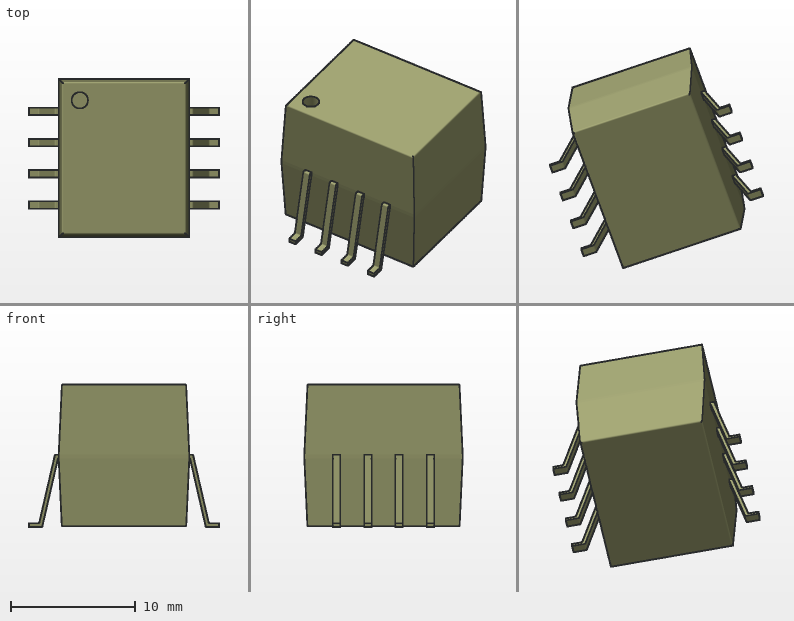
import cadquery as cq
import math

SPAN = 15.24
LEADS_PER_SIDE = 4
LEAD_PITCH = 2.5
LEAD_WIDTH = 0.61
LEAD_THICKNESS = 0.32
SHOULDER_TOP = 5.8
FOOT_BEND = 6.8
SHOULDER_BEND = 5.53
BEND_RADIUS = 0.1
SHOULDER_INNER_RADIUS = 0.05

BAND_LENGTH_X = 10.47
BAND_LENGTH_Y = 12.7
TOTAL_HEIGHT = 11.43
STANDOFF = 0.05
DRAFT_ANGLE = 2.6
EDGE_RADIUS = 0.13
BAND_TOP = SHOULDER_TOP
BAND_BOTTOM = SHOULDER_TOP - LEAD_THICKNESS

MARK_DIAMETER = 1.31
MARK_DEPTH = 1.0
MARK_X = -3.54
MARK_Y = 4.63


def housing_slice(z_start, height, draft):
    """Rectangular slice growing from z_start; a negative height grows it downwards."""
    section = cq.Workplane("XY", origin=(0, 0, z_start)).rect(BAND_LENGTH_X, BAND_LENGTH_Y)
    return section.extrude(height, taper=draft)


def make_housing():
    band = housing_slice(BAND_BOTTOM, BAND_TOP - BAND_BOTTOM, 0)
    upper = housing_slice(BAND_TOP, TOTAL_HEIGHT - BAND_TOP, DRAFT_ANGLE)
    lower = housing_slice(BAND_BOTTOM, STANDOFF - BAND_BOTTOM, DRAFT_ANGLE)
    body = band.union(upper).union(lower)
    body = body.faces(">Z or <Z").edges().fillet(EDGE_RADIUS)
    mark = (
        cq.Workplane("XY", origin=(MARK_X, MARK_Y, TOTAL_HEIGHT - MARK_DEPTH))
        .circle(MARK_DIAMETER / 2)
        .extrude(MARK_DEPTH)
    )
    return body.cut(mark)


def make_lead(side, y):
    """Gull-wing lead butting on the housing band; side is -1 or +1 along X."""
    leg_angle = math.atan2(SHOULDER_TOP - LEAD_THICKNESS, FOOT_BEND - SHOULDER_BEND)
    corner_shift = LEAD_THICKNESS * math.tan(leg_angle / 2)
    tip = SPAN / 2
    root = BAND_LENGTH_X / 2
    outline = [
        (tip, 0),
        (tip, LEAD_THICKNESS),
        (FOOT_BEND, LEAD_THICKNESS),
        (SHOULDER_BEND, SHOULDER_TOP),
        (root, SHOULDER_TOP),
        (root, BAND_BOTTOM),
        (SHOULDER_BEND - corner_shift, BAND_BOTTOM),
        (FOOT_BEND - corner_shift, 0),
    ]
    lead = (
        cq.Workplane("XZ", origin=(0, y + LEAD_WIDTH / 2, 0))
        .polyline([(side * x, z) for x, z in outline])
        .close()
        .extrude(LEAD_WIDTH)
    )

    def bend_edge(x, z):
        return cq.selectors.NearestToPointSelector((side * x, y, z))

    lead = lead.edges(bend_edge(FOOT_BEND, LEAD_THICKNESS)).fillet(BEND_RADIUS)
    lead = lead.edges(bend_edge(FOOT_BEND - corner_shift, 0)).fillet(BEND_RADIUS)
    lead = lead.edges(bend_edge(SHOULDER_BEND, SHOULDER_TOP)).fillet(BEND_RADIUS)
    inner_shoulder = bend_edge(SHOULDER_BEND - corner_shift, BAND_BOTTOM)
    return lead.edges(inner_shoulder).fillet(SHOULDER_INNER_RADIUS)


housing = make_housing()

leads = []
for side in (-1, 1):
    for index in range(LEADS_PER_SIDE):
        lead_y = (index - (LEADS_PER_SIDE - 1) / 2) * LEAD_PITCH
        leads.append(make_lead(side, lead_y))

result = cq.Compound.makeCompound([housing.val(), *[lead.val() for lead in leads]])